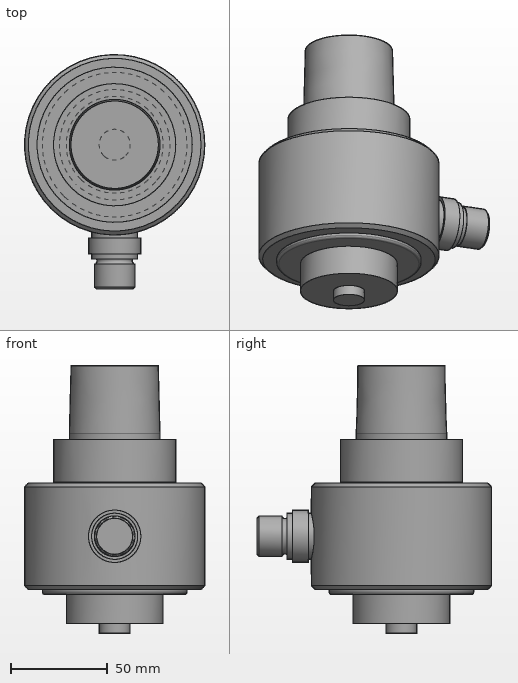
import cadquery as cq

LOWER_BOSS_BOTTOM = 5.0
FLANGE_BOTTOM = 20.0
BODY_BOTTOM = 22.5
BODY_TOP = 77.5
COLLAR_BOTTOM = 77.9
COLLAR_TOP = 100.0
TAPER_START = 103.0
POST_TOP = 138.0

PIN_DIAMETER = 16.0
LOWER_BOSS_DIAMETER = 50.0
FLANGE_DIAMETER = 74.6
BODY_DIAMETER = 93.0
COVER_DIAMETER = 80.0
COLLAR_NECK_DIAMETER = 57.0
COLLAR_DIAMETER = 63.0
POST_DIAMETER = 46.8

FLANGE_FILLET = 1.2
BODY_CHAMFER = 2.0
COVER_RECESS_DEPTH = 0.1

POST_TAPER = 1 / 20

CONNECTOR_HEIGHT = (BODY_BOTTOM + BODY_TOP) / 2
CONNECTOR_BASE_DIAMETER = 23.8
CONNECTOR_NUT_DIAMETER = 27.0
CONNECTOR_PLUG_DIAMETER = 21.0
CONNECTOR_ROOT = 35.0
NUT_START = 48.0
NUT_END = 56.2
BASE_END = 59.0
PLUG_START = 61.5
PLUG_END = 74.5
PLUG_CHAMFER = 1.2

GROOVE_DIAMETER = 18.4
GROOVE_BASE_DIAMETER = 18.8
GROOVE_PLUG_DIAMETER = 20.2


def cylinder(diameter, bottom, top):
    """Upright cylinder on the Z axis between two heights."""
    return cq.Workplane("XY").workplane(offset=bottom).circle(diameter / 2).extrude(top - bottom)


def make_lower_end():
    """Pin, boss and rounded flange below the body."""
    pin = cylinder(PIN_DIAMETER, 0, LOWER_BOSS_BOTTOM)
    boss = cylinder(LOWER_BOSS_DIAMETER, LOWER_BOSS_BOTTOM, FLANGE_BOTTOM)
    flange = cylinder(FLANGE_DIAMETER, FLANGE_BOTTOM, BODY_BOTTOM)
    flange = flange.faces("<Z").fillet(FLANGE_FILLET)
    return pin.union(boss).union(flange)


def make_body():
    """Main drum, chamfered at both ends, with its top cover set slightly below the rim."""
    body = cylinder(BODY_DIAMETER, BODY_BOTTOM, BODY_TOP)
    body = body.faces("<Z or >Z").chamfer(BODY_CHAMFER)
    recess = cylinder(COVER_DIAMETER, BODY_TOP - COVER_RECESS_DEPTH, BODY_TOP)
    return body.cut(recess)


def make_upper_end():
    """Collar on a short neck, carrying the tapered post."""
    neck = cylinder(COLLAR_NECK_DIAMETER, BODY_TOP - COVER_RECESS_DEPTH, COLLAR_BOTTOM)
    collar = cylinder(COLLAR_DIAMETER, COLLAR_BOTTOM, COLLAR_TOP)
    post_base = cylinder(POST_DIAMETER, COLLAR_TOP, TAPER_START)
    taper_height = POST_TOP - TAPER_START
    post_top_diameter = POST_DIAMETER - POST_TAPER * taper_height
    taper = (
        cq.Workplane("XY")
        .workplane(offset=TAPER_START)
        .circle(POST_DIAMETER / 2)
        .workplane(offset=taper_height)
        .circle(post_top_diameter / 2)
        .loft()
    )
    return neck.union(collar).union(post_base).union(taper)


def make_connector():
    """Connector turned about its own axis: base, nut, rounded groove and chamfered plug."""
    base_radius = CONNECTOR_BASE_DIAMETER / 2
    nut_radius = CONNECTOR_NUT_DIAMETER / 2
    plug_radius = CONNECTOR_PLUG_DIAMETER / 2
    groove_floor = (GROOVE_DIAMETER / 2, -(BASE_END + PLUG_START) / 2)

    profile = (
        cq.Workplane("XY")
        .workplane(offset=CONNECTOR_HEIGHT)
        .moveTo(0, -CONNECTOR_ROOT)
        .lineTo(base_radius, -CONNECTOR_ROOT)
        .lineTo(base_radius, -NUT_START)
        .lineTo(nut_radius, -NUT_START)
        .lineTo(nut_radius, -NUT_END)
        .lineTo(base_radius, -NUT_END)
        .lineTo(base_radius, -BASE_END)
        .lineTo(GROOVE_BASE_DIAMETER / 2, -BASE_END)
        .threePointArc(groove_floor, (GROOVE_PLUG_DIAMETER / 2, -PLUG_START))
        .lineTo(plug_radius, -PLUG_START)
        .lineTo(plug_radius, PLUG_CHAMFER - PLUG_END)
        .lineTo(plug_radius - PLUG_CHAMFER, -PLUG_END)
        .lineTo(0, -PLUG_END)
        .close()
    )
    return profile.revolve(360, (0, 0, 0), (0, 1, 0))


result = make_lower_end().union(make_body()).union(make_upper_end()).union(make_connector())